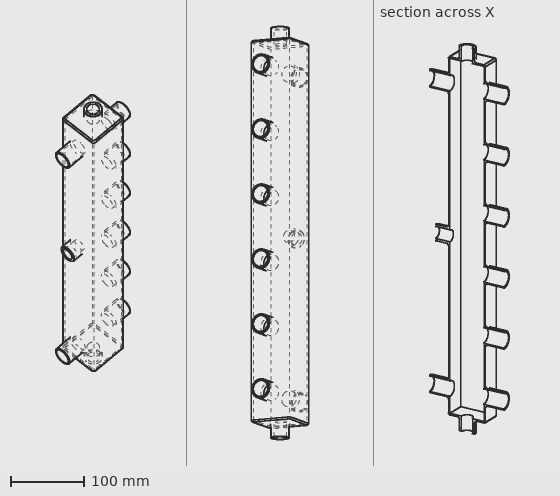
import cadquery as cq

body_width = 61.0
body_depth = 60.0
wall = 3.0
corner_radius = 4.0
rim_bevel = 2.0
total_length = 568
total_depth = 120.0

side_pipe_diameter = 26.5
side_bore_diameter = 22.0
side_pipe_length = (total_depth - body_depth) / 2
small_pipe_diameter = 25.0
small_bore_diameter = 17.0
small_pipe_length = 20.0
end_bevel = 0.5
foot_radius = 3.0

side_pipe_count = 6
side_row_span = 450.0
side_pipe_pitch = side_row_span / (side_pipe_count - 1)

body_length = total_length - 2 * small_pipe_length
row_half_length = side_row_span / 2

FRONT = (0, -1, 0)
BACK = (0, 1, 0)
TOP = (0, 0, 1)
BOTTOM = (0, 0, -1)


def make_body():
    """Closed hollow tube with rounded long edges and beveled end rims."""
    outside = cq.Workplane("XY").box(body_width, body_depth, body_length)
    outside = outside.edges("|Z").fillet(corner_radius)
    outside = outside.faces("<Z or >Z").chamfer(rim_bevel)
    cavity_size = [size - 2 * wall for size in (body_width, body_depth, body_length)]
    return outside.cut(cq.Workplane("XY").box(*cavity_size))


def face_plane(direction, height=0):
    """Plane on the body face that points along direction; height places it on a side face."""
    if direction in (TOP, BOTTOM):
        origin = (0, 0, direction[2] * body_length / 2)
    else:
        origin = (0, direction[1] * body_depth / 2, height)
    return cq.Plane(origin=origin, xDir=(1, 0, 0), normal=direction)


def make_stub(plane, diameter, length):
    """Solid pipe stub with a concave weld fillet at its foot and a beveled open end."""
    pipe_radius = diameter / 2
    profile = (
        cq.Workplane("XZ")
        .lineTo(pipe_radius + foot_radius, 0)
        .radiusArc((pipe_radius, foot_radius), foot_radius)
        .lineTo(pipe_radius, length - end_bevel)
        .lineTo(pipe_radius - end_bevel, length)
        .lineTo(0, length)
        .close()
    )
    stub = profile.revolve(360, (0, 0), (0, 1))
    return cq.Workplane(stub.val().located(cq.Location(plane)))


def make_bore(plane, diameter, length):
    """Bore running from the stub's open end through the wall into the cavity."""
    start = cq.Workplane(plane).workplane(offset=-wall)
    return start.circle(diameter / 2).extrude(wall + length)


side_pipe = (side_pipe_diameter, side_bore_diameter, side_pipe_length)
small_pipe = (small_pipe_diameter, small_bore_diameter, small_pipe_length)

stubs = [
    (face_plane(TOP), small_pipe),
    (face_plane(BOTTOM), small_pipe),
    (face_plane(FRONT), small_pipe),
    (face_plane(FRONT, row_half_length), side_pipe),
    (face_plane(FRONT, -row_half_length), side_pipe),
]
for index in range(side_pipe_count):
    stub_height = index * side_pipe_pitch - row_half_length
    stubs.append((face_plane(BACK, stub_height), side_pipe))

result = make_body()
for stub_plane, (outer_diameter, _, pipe_length) in stubs:
    result = result.union(make_stub(stub_plane, outer_diameter, pipe_length))
for stub_plane, (_, bore_diameter, pipe_length) in stubs:
    result = result.cut(make_bore(stub_plane, bore_diameter, pipe_length))